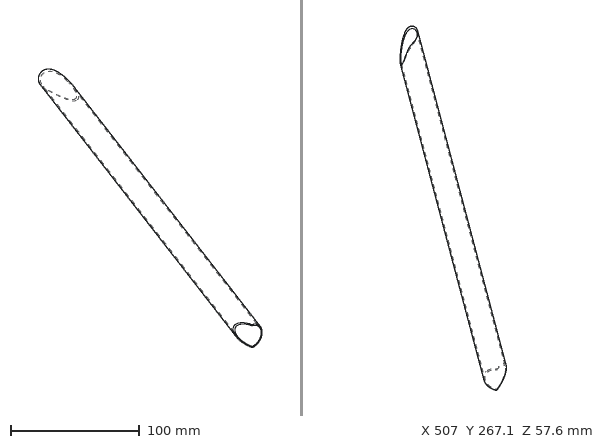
import cadquery as cq
import math

outer_diameter = 20.0
outer_radius = outer_diameter / 2
wall = 1.0
plan_angle = 28.4
rise = 38.5
length_x = 507.0
foot_y = -0.25
overrun = 50.5

saddle_radius = 12.0
saddle_plan_angle = 5.0
saddle_bottom_y = 262.5
saddle_z = 0.75
saddle_length = 304.0

slope_y = -math.tan(math.radians(plan_angle))
slope_z = rise / length_x
axis_direction = cq.Vector(1, slope_y, slope_z)
tube_start = cq.Vector(0, foot_y - slope_y * length_x, 0) - axis_direction * overrun
tube_length = axis_direction.Length * (length_x + 2 * overrun)


def rod(radius, start, direction, length):
    """Solid cylinder running from start along direction."""
    return cq.Workplane(obj=cq.Solid.makeCylinder(radius, length, start, direction))


def make_tube():
    outside = rod(outer_radius, tube_start, axis_direction, tube_length)
    bore = rod(outer_radius - wall, tube_start, axis_direction, tube_length)
    return outside.cut(bore)


def trim_ends(tube):
    """Square off the foot of the tube at X = length_x and Y = 0."""
    trim_size = 2 * length_x
    keep = cq.Workplane().box(trim_size, trim_size, trim_size, centered=(True, False, True))
    keep = keep.translate((length_x - trim_size / 2, 0, 0))
    return tube.intersect(keep)


def cut_saddle(tube):
    """Remove the rail and everything on its +Y side."""
    angle = math.radians(saddle_plan_angle)
    direction = cq.Vector(math.cos(angle), -math.sin(angle), 0)
    across = cq.Vector(math.sin(angle), math.cos(angle), 0)
    rail_centre = cq.Vector(0, saddle_bottom_y, saddle_z) + across * saddle_radius
    rail = rod(saddle_radius, rail_centre - direction * (saddle_length / 2), direction, saddle_length)
    rail_plane = cq.Plane(origin=rail_centre, xDir=direction, normal=(0, 0, 1))
    beyond = cq.Workplane(rail_plane).box(
        saddle_length, saddle_length, saddle_length, centered=(True, False, True)
    )
    return tube.cut(rail).cut(beyond)


result = cut_saddle(trim_ends(make_tube()))